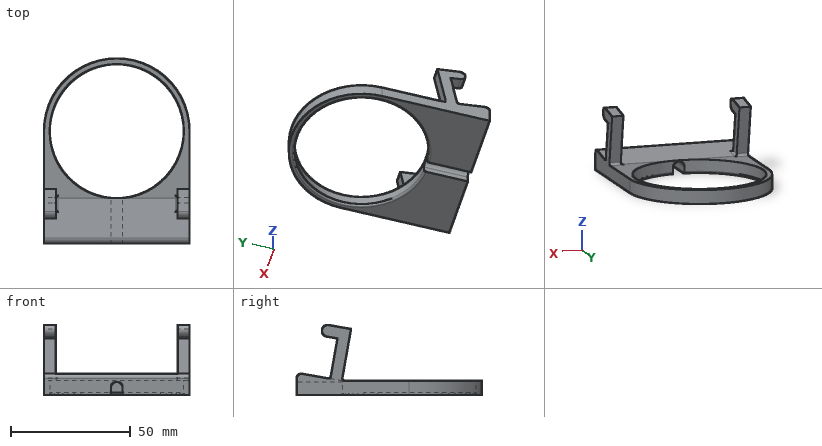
import cadquery as cq
import math

width = 61.0
bore_diameter = 56.0
plate_thickness = 6.0
front_y = -47.0
bore_bottom_fillet = 1.0

tilt = 10.0
ramp_start_y = -bore_diameter / 2
ramp_front_fillet = 2.0
crease_fillet = 1.0

post_size = 5.0
post_height = 22.0
hook_length = 12.0
hook_thickness = 5.0
post_base_fillet = 1.0

notch_width = 5.0
notch_height = 5.5

edge_margin = 0.1

tilt_sin = math.sin(math.radians(tilt))
tilt_cos = math.cos(math.radians(tilt))
tilt_tan = math.tan(math.radians(tilt))


def on_ramp(forward, up):
    """(Y, Z) of a point measured along and square to the ramp from its rear edge."""
    y = ramp_start_y - forward * tilt_cos + up * tilt_sin
    z = plate_thickness + forward * tilt_sin + up * tilt_cos
    return y, z


def make_plate():
    straight = (
        cq.Workplane("XY")
        .box(width, -front_y, plate_thickness, centered=(True, False, False))
        .translate((0, front_y, 0))
    )
    rounded_end = cq.Workplane("XY").circle(width / 2).extrude(plate_thickness)
    return straight.union(rounded_end)


def make_ramp():
    front_height = plate_thickness + (ramp_start_y - front_y) * tilt_tan
    ramp = (
        cq.Workplane("YZ")
        .moveTo(ramp_start_y, 0)
        .lineTo(ramp_start_y, plate_thickness)
        .lineTo(front_y, front_height)
        .lineTo(front_y, 0)
        .close()
        .extrude(width / 2, both=True)
    )
    return ramp.faces("<Y").edges(">Z").fillet(ramp_front_fillet)


def make_base():
    """Plate and ramp, blended along the crease where the ramp starts."""
    crease = cq.selectors.BoxSelector(
        (-width, ramp_start_y - edge_margin, plate_thickness - edge_margin),
        (width, ramp_start_y + edge_margin, plate_thickness + edge_margin),
        boundingbox=True,
    )
    return make_plate().union(make_ramp()).edges(crease).fillet(crease_fillet)


def make_hooked_wall():
    """Side outline of a post drawn out to the full width; its foot reaches down into the plate."""
    nose_radius = hook_thickness / 2
    nose_center_forward = hook_length - nose_radius
    nose_center_up = post_height - nose_radius
    nose_diagonal = nose_radius * math.sqrt(0.5)
    hook_bottom = post_height - hook_thickness
    foot_up = -plate_thickness / 2
    return (
        cq.Workplane("YZ")
        .moveTo(*on_ramp(0, foot_up))
        .lineTo(*on_ramp(0, post_height))
        .lineTo(*on_ramp(nose_center_forward, post_height))
        .threePointArc(
            on_ramp(nose_center_forward + nose_diagonal, nose_center_up + nose_diagonal),
            on_ramp(hook_length, nose_center_up),
        )
        .threePointArc(
            on_ramp(nose_center_forward + nose_diagonal, nose_center_up - nose_diagonal),
            on_ramp(nose_center_forward, hook_bottom),
        )
        .lineTo(*on_ramp(post_size, hook_bottom))
        .lineTo(*on_ramp(post_size, foot_up))
        .close()
        .extrude(width / 2, both=True)
    )


def make_post_width_bar(forward_direction, length):
    """Bar as wide as a post, running from the ramp crease along a floor; its inner side flares at the floor.

    A negative length runs it backward from the crease.
    """
    outer_x = -width / 2
    inner_x = outer_x + post_size
    flare = post_base_fillet
    flare_diagonal = flare * (1 - math.sqrt(0.5))
    depth = plate_thickness / 2
    section_plane = cq.Plane(
        origin=(0, *on_ramp(0, 0)),
        xDir=(1, 0, 0),
        normal=forward_direction,
    )
    return (
        cq.Workplane(section_plane)
        .moveTo(outer_x, -depth)
        .lineTo(outer_x, post_height)
        .lineTo(inner_x, post_height)
        .lineTo(inner_x, flare)
        .threePointArc((inner_x + flare_diagonal, flare_diagonal), (inner_x + flare, 0))
        .lineTo(inner_x + flare, -depth)
        .close()
        .extrude(length)
    )


def make_posts():
    """Both hooked posts, filleted to the base at the rear, front and inner sides with mitred corners.

    A wall as wide as the part is filleted on its rear and front, then cropped to the width of each post.
    """
    front_foot_y, front_foot_z = on_ramp(post_size, 0)
    foot_edges = cq.selectors.BoxSelector(
        (-width, front_foot_y - edge_margin, plate_thickness - edge_margin),
        (width, ramp_start_y + edge_margin, front_foot_z + edge_margin),
        boundingbox=True,
    )
    wall = make_plate().union(make_ramp()).union(make_hooked_wall())
    wall = wall.edges(foot_edges).edges("|X").fillet(post_base_fillet)
    over_ramp = make_post_width_bar((0, -tilt_cos, tilt_sin), hook_length)
    over_plate = make_post_width_bar((0, -1, 0), -post_height)
    post = wall.intersect(over_ramp.union(over_plate))
    return post.union(post.mirror("YZ"))


def cut_bore(body):
    bore = cq.Workplane("XY").circle(bore_diameter / 2).extrude(plate_thickness)
    flare_radius = bore_diameter / 2 + bore_bottom_fillet
    flare_diagonal = bore_bottom_fillet * (1 - math.sqrt(0.5))
    flare = (
        cq.Workplane("XZ")
        .lineTo(flare_radius, 0)
        .threePointArc(
            (bore_diameter / 2 + flare_diagonal, flare_diagonal),
            (bore_diameter / 2, bore_bottom_fillet),
        )
        .lineTo(0, bore_bottom_fillet)
        .close()
        .revolve(360, (0, 0), (0, 1))
    )
    return body.cut(bore).cut(flare)


def cut_notch(body):
    spring_z = notch_height - notch_width / 2
    notch = (
        cq.Workplane("XZ")
        .moveTo(-notch_width / 2, 0)
        .lineTo(-notch_width / 2, spring_z)
        .threePointArc((0, notch_height), (notch_width / 2, spring_z))
        .lineTo(notch_width / 2, 0)
        .close()
        .extrude(-front_y)
    )
    return body.cut(notch)


result = make_base().union(make_posts())
result = cut_bore(result)
result = cut_notch(result)